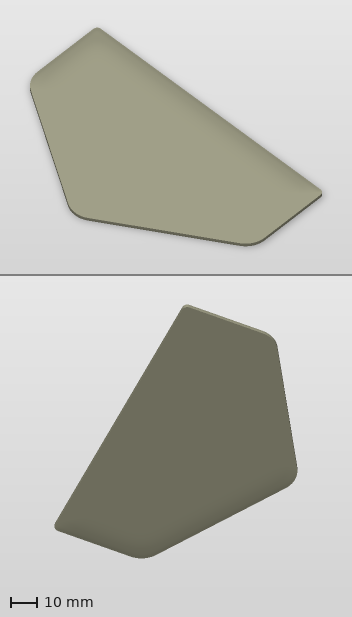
import cadquery as cq

width = 120.0
thickness = 1.5
side_length = 37.8
point_depth = 75.0
back_corner_radius = 2.0
front_corner_radius = 10.0

half_width = width / 2


def pentagon_plate():
    """Flat five-sided plate with its back edge on the X axis and its point toward -Y."""
    outline = [
        (-half_width, 0),
        (half_width, 0),
        (half_width, -side_length),
        (0, -point_depth),
        (-half_width, -side_length),
    ]
    return cq.Workplane("XY").polyline(outline).close().extrude(thickness)


def round_corners(plate):
    """Round the three front corners generously and the two back corners lightly."""
    plate = plate.edges("|Z").edges("not >Y").fillet(front_corner_radius)
    return plate.edges("|Z").edges(">Y").fillet(back_corner_radius)


result = round_corners(pentagon_plate())